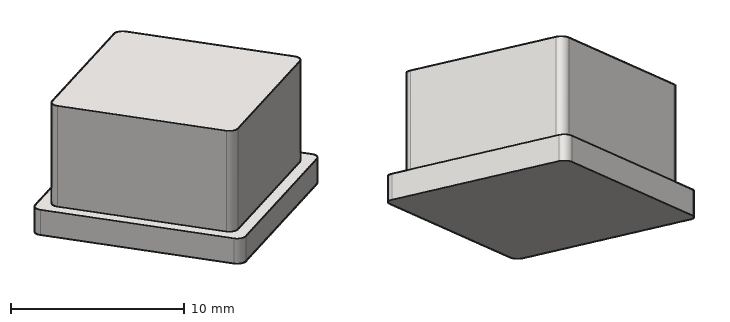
import cadquery as cq

flange_side = 12.95
flange_height = 1.59

total_height = 7.94
ledge_width = 0.76
body_side = flange_side - 2 * ledge_width
body_height = total_height - flange_height

corner_radius = 0.53


def rounded_block(side, height, base_z):
    """Square block centred on the Z axis, with rounded upright edges."""
    return (
        cq.Workplane("XY")
        .workplane(offset=base_z)
        .rect(side, side)
        .extrude(height)
        .edges("|Z")
        .fillet(corner_radius)
    )


flange = rounded_block(flange_side, flange_height, 0)
body = rounded_block(body_side, body_height, flange_height)

result = flange.union(body)